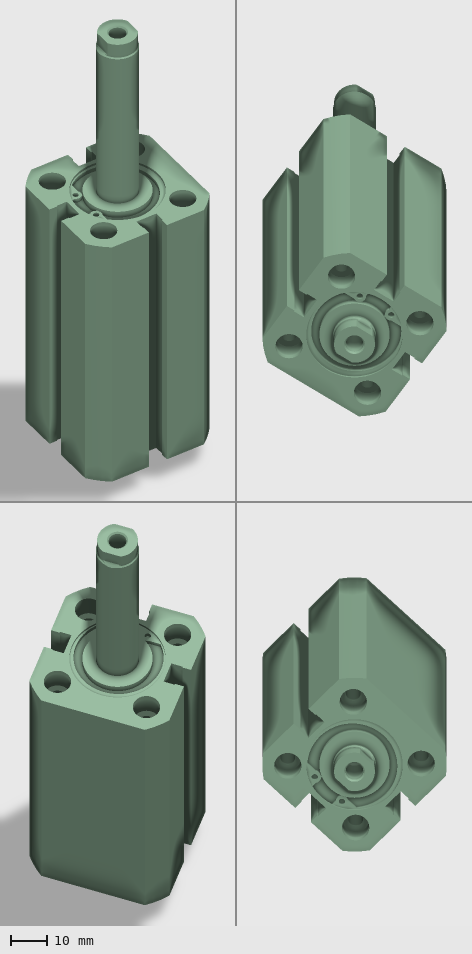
import cadquery as cq
import math


housing_width = 41.0
housing_corner_diameter = 51.0
housing_bottom = 6.0
housing_length = 83.1
housing_top = housing_bottom + housing_length
housing_middle = housing_bottom + housing_length / 2
bore_radius = 13.3

slot_floor = 14.6
slot_mouth_floor = 18.0
slot_mouth_width = 6.0
slot_inner_width = 6.5
slot_angles = (90, 180, 270)

mounting_pitch = 26.1
mounting_hole_diameter = 4.0
counterbore_diameter = 7.5
counterbore_depth = 7.0

rod_length = 145.0
rod_diameter = 12.0
rod_radius = rod_diameter / 2
tip_radius = 5.7
tip_length = 4.5
tip_step = rod_radius - tip_radius
flats_width = 10.0
flats_length = 4.0
tap_hole_radius = 2.5
tap_mouth_radius = 2.9
tap_hole_depth = 12.0
drill_point_angle = 118.0

groove_radius = 14.5
ring_inset = 0.7
ring_thickness = 1.3
ring_bottom = housing_top - ring_inset - ring_thickness
ring_inner_radius = 12.5
ring_inner_offset = 0.9
ring_gap_width = 7.7
lug_edge_y = -9.0
lug_x = 5.2
lug_y = -10.5
lug_radius = 1.7
lug_hole_radius = 0.9

cap_boss_radius = 9.7
cap_length = 13.0


def cylinder(radius, z, height):
    """Upright cylinder on the rod axis, standing on the level z."""
    return cq.Workplane("XY").workplane(offset=z).circle(radius).extrude(height)


def at_both_ends(top_end):
    """A shape at the upper end of the housing and its mirror image at the lower end."""
    bottom_end = top_end.mirror("XY", (0, 0, housing_middle))
    return [top_end, bottom_end]


def make_slot(angle):
    """Cutter for one full-length sensor slot, turned about Z from the +Y side."""
    def channel(width, inner_y, outer_y):
        plane = cq.Workplane("XY").workplane(offset=housing_bottom).center(0, (inner_y + outer_y) / 2)
        return plane.rect(width, outer_y - inner_y).extrude(housing_length)

    inside = channel(slot_inner_width, slot_floor, slot_mouth_floor)
    mouth = channel(slot_mouth_width, slot_floor, housing_width / 2)
    return inside.union(mouth).rotate((0, 0, 0), (0, 0, 1), angle)


def make_mounting_holes():
    """Cutter for the four through holes and their counterbores."""
    def corner_pattern(z):
        plane = cq.Workplane("XY").workplane(offset=z)
        return plane.rect(mounting_pitch, mounting_pitch, forConstruction=True).vertices()

    holes = corner_pattern(housing_bottom).circle(mounting_hole_diameter / 2).extrude(housing_length)
    counterbores = corner_pattern(housing_top).circle(counterbore_diameter / 2).extrude(-counterbore_depth)
    for end in at_both_ends(counterbores):
        holes = holes.union(end)
    return holes


def make_housing():
    """Slotted body with a through bore and a ring groove near each end of it."""
    block = cq.Workplane("XY").workplane(offset=housing_bottom)
    block = block.rect(housing_width, housing_width).extrude(housing_length)
    body = block.intersect(cylinder(housing_corner_diameter / 2, housing_bottom, housing_length))
    body = body.cut(cylinder(bore_radius, housing_bottom, housing_length))
    for angle in slot_angles:
        body = body.cut(make_slot(angle))
    body = body.cut(make_mounting_holes())
    groove = cylinder(groove_radius, ring_bottom, ring_thickness)
    for end in at_both_ends(groove):
        body = body.cut(end)
    return body


def make_flat_cutter():
    """Cutter for the upper +Y wrench flat, which runs out at 45 degrees."""
    flat_y = flats_width / 2
    flat_bottom = rod_length - flats_length
    reach = rod_radius
    profile = cq.Workplane("YZ").polyline([
        (flat_y, rod_length),
        (flat_y, flat_bottom),
        (flat_y + reach, flat_bottom - reach),
        (flat_y + reach, rod_length),
    ])
    return profile.close().extrude(rod_radius, both=True)


def make_tap_hole():
    """Cutter for the upper tapped hole, with a chamfered mouth and a drill point."""
    mouth_depth = tap_mouth_radius - tap_hole_radius
    hole_bottom = rod_length - tap_hole_depth
    point_depth = tap_hole_radius / math.tan(math.radians(drill_point_angle / 2))
    profile = cq.Workplane("XZ").polyline([
        (0, rod_length),
        (tap_mouth_radius, rod_length),
        (tap_hole_radius, rod_length - mouth_depth),
        (tap_hole_radius, hole_bottom),
        (0, hole_bottom - point_depth),
    ])
    return profile.close().revolve(360, (0, 0, 0), (0, 1, 0))


def make_rod():
    """Through rod, stepped down at both tips, with wrench flats and tapped holes."""
    shoulder = tip_length + tip_step
    profile = cq.Workplane("XZ").polyline([
        (0, 0),
        (tip_radius, 0),
        (tip_radius, tip_length),
        (rod_radius, shoulder),
        (rod_radius, rod_length - shoulder),
        (tip_radius, rod_length - tip_length),
        (tip_radius, rod_length),
        (0, rod_length),
    ])
    body = profile.close().revolve(360, (0, 0, 0), (0, 1, 0))
    flat = make_flat_cutter()
    for top_cutter in (flat, flat.mirror("XZ"), make_tap_hole()):
        bottom_cutter = top_cutter.mirror("XY", (0, 0, rod_length / 2))
        body = body.cut(top_cutter).cut(bottom_cutter)
    return body


def make_cap():
    """Upper cap: a flange below the retaining ring and a boss level with the housing."""
    cap_bottom = housing_top - cap_length
    cap = cylinder(bore_radius, cap_bottom, ring_bottom - cap_bottom)
    cap = cap.union(cylinder(cap_boss_radius, cap_bottom, cap_length))
    return cap.cut(cylinder(rod_radius, cap_bottom, cap_length))


def make_ring():
    """Upper retaining ring: an eccentric ring, open at -Y between two drilled lugs."""
    plane = cq.Workplane("XY").workplane(offset=ring_bottom)
    lug_points = [(-lug_x, lug_y), (lug_x, lug_y)]
    ring_diameter = 2 * groove_radius

    disc = plane.circle(groove_radius).extrude(ring_thickness)
    opening = plane.pushPoints([(0, -ring_inner_offset)]).circle(ring_inner_radius).extrude(ring_thickness)
    lug_zone = plane.pushPoints([(0, lug_edge_y - groove_radius)])
    lug_zone = lug_zone.rect(ring_diameter, ring_diameter).extrude(ring_thickness)
    boss_clearance = plane.circle(cap_boss_radius).extrude(ring_thickness)
    gap = plane.pushPoints([(0, -groove_radius)]).rect(ring_gap_width, ring_diameter).extrude(ring_thickness)
    lugs = plane.pushPoints(lug_points).circle(lug_radius).extrude(ring_thickness)
    lug_holes = plane.pushPoints(lug_points).circle(lug_hole_radius).extrude(ring_thickness)

    ring = disc.cut(opening.cut(lug_zone)).cut(boss_clearance).cut(gap)
    return ring.union(lugs).cut(lug_holes)


housing = make_housing()
rod = make_rod()
caps = at_both_ends(make_cap())
rings = at_both_ends(make_ring())

result = cq.Compound.makeCompound([
    housing.val(),
    rod.val(),
    *[cap.val() for cap in caps],
    *[ring.val() for ring in rings],
])